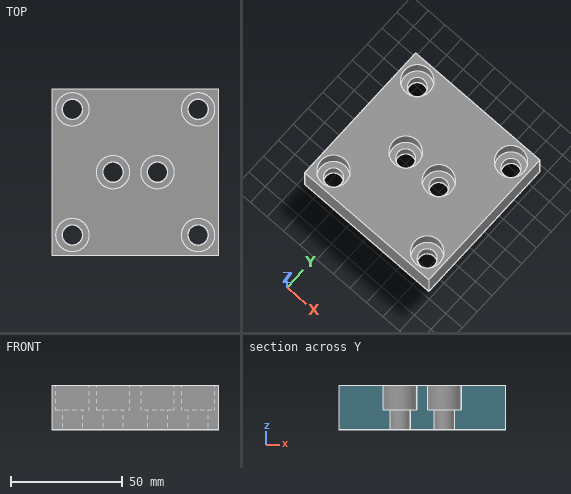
import cadquery as cq
import math

plate_side = 75.0
plate_thickness = 20.0

hole_diameter = 9.0
counterbore_diameter = 15.0
counterbore_depth = 11.0

bolt_circle_diameter = 80.0
corner_spacing = bolt_circle_diameter / math.sqrt(2)
centre_pair_spacing = 20.0


def make_plate():
    """Square plate centred in X and Y, resting on Z = 0."""
    return cq.Workplane("XY").box(plate_side, plate_side, plate_thickness, centered=(True, True, False))


def cut_corner_holes(body):
    """Counterbored through holes near the four corners."""
    return (
        body.faces(">Z")
        .workplane(origin=(0, 0, plate_thickness))
        .rect(corner_spacing, corner_spacing, forConstruction=True)
        .vertices()
        .cboreHole(hole_diameter, counterbore_diameter, counterbore_depth)
    )


def cut_centre_holes(body):
    """Counterbored through holes on either side of the plate centre."""
    half_spacing = centre_pair_spacing / 2
    return (
        body.faces(">Z")
        .workplane(origin=(0, 0, plate_thickness))
        .pushPoints([(-half_spacing, 0), (half_spacing, 0)])
        .cboreHole(hole_diameter, counterbore_diameter, counterbore_depth)
    )


result = cut_centre_holes(cut_corner_holes(make_plate()))